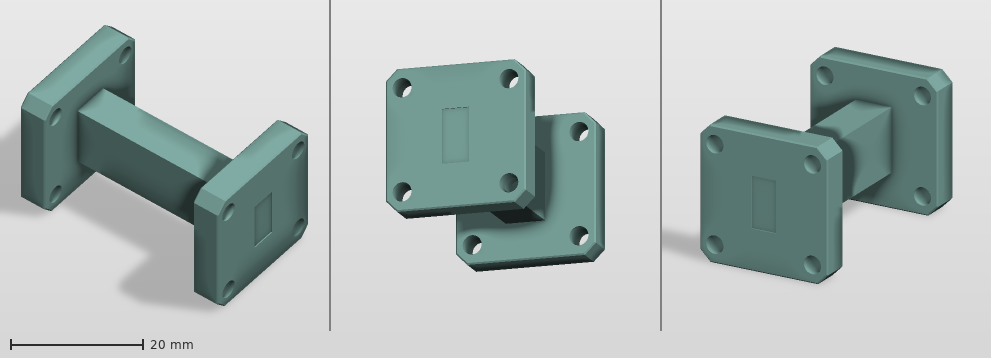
import cadquery as cq

length = 38.1
flange_side = 22.35
flange_thickness = 4.75
corner_chamfer = 1.8
rim_chamfer = 0.23

tube_width = 6.3
tube_height = 10.63

hole_diameter = 3.0
hole_spacing_y = 17.05
hole_spacing_z = 16.3

window_width = 4.25
window_height = 8.57
window_depth = 0.2


def make_flange(start_x):
    """Square flange with cut corners, bevelled rims and four bolt holes."""
    blank = (
        cq.Workplane("YZ", origin=(start_x, 0, 0))
        .rect(flange_side, flange_side)
        .extrude(flange_thickness)
        .edges("|X")
        .chamfer(corner_chamfer)
        .faces("<X or >X")
        .edges()
        .chamfer(rim_chamfer)
    )
    bolt_holes = (
        cq.Workplane("YZ", origin=(start_x, 0, 0))
        .rect(hole_spacing_y, hole_spacing_z, forConstruction=True)
        .vertices()
        .circle(hole_diameter / 2)
        .extrude(flange_thickness)
    )
    return blank.cut(bolt_holes)


tube_length = length - 2 * flange_thickness
tube = cq.Workplane("XY").box(tube_length, tube_width, tube_height)

left_flange = make_flange(-length / 2)
right_flange = make_flange(length / 2 - flange_thickness)
body = tube.union(left_flange).union(right_flange)

window_centre_x = (length - window_depth) / 2
windows = (
    cq.Workplane("XY")
    .pushPoints([(-window_centre_x, 0), (window_centre_x, 0)])
    .box(window_depth, window_width, window_height)
)
result = body.cut(windows)